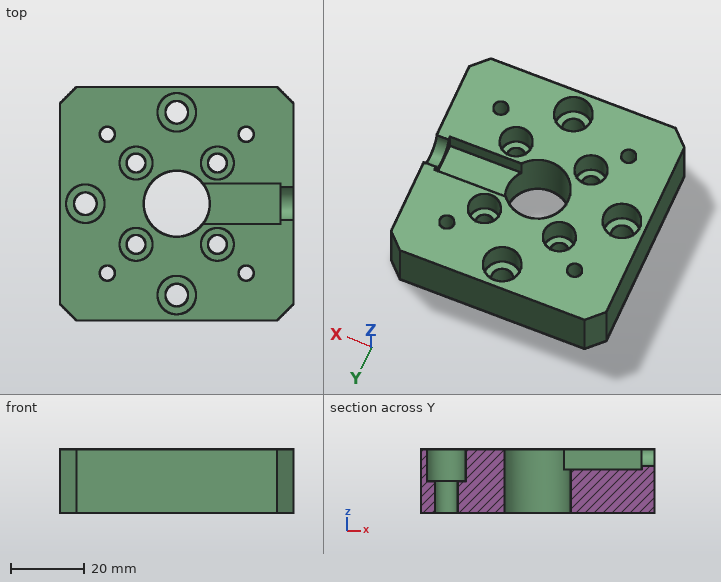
import cadquery as cq

side = 63.8
thickness = 17.5
corner_chamfer = 4.5

bore_diameter = 18.0
pin_diameter = 4.1
pin_offset = 18.95
counterbore_depth = thickness / 2
inner_hole_diameter = 5.1
inner_counterbore_diameter = 9.0
inner_offset = 11.1
outer_hole_diameter = 6.1
outer_counterbore_diameter = 10.5
outer_offset = 24.95

channel_width = 11.0
channel_depth = 5.5
outlet_wall = 3.6
outlet_diameter = 9.0


def square_pattern(offset):
    """Four points at the corners of a centred square."""
    return [(x, y) for x in (-offset, offset) for y in (-offset, offset)]


def make_plate():
    """Square plate, bottom on Z = 0, with chamfered vertical corners."""
    return cq.Workplane("XY").box(side, side, thickness, (True, True, False)).edges("|Z").chamfer(corner_chamfer)


def top_face(body):
    return body.faces(">Z").workplane(origin=(0, 0, thickness))


def drill_holes(body):
    """Central bore, plain pin holes and two sets of counterbored holes."""
    body = top_face(body).hole(bore_diameter)
    body = top_face(body).pushPoints(square_pattern(pin_offset)).hole(pin_diameter)
    body = (
        top_face(body)
        .pushPoints(square_pattern(inner_offset))
        .cboreHole(inner_hole_diameter, inner_counterbore_diameter, counterbore_depth)
    )
    outer_points = [(-outer_offset, 0), (0, outer_offset), (0, -outer_offset)]
    return (
        top_face(body)
        .pushPoints(outer_points)
        .cboreHole(outer_hole_diameter, outer_counterbore_diameter, counterbore_depth)
    )


def channel():
    """Rectangular channel from the plate centre to the outlet wall."""
    length = side / 2 - outlet_wall
    return (
        cq.Workplane("XY", origin=(0, 0, thickness - channel_depth))
        .box(length, channel_width, channel_depth, (False, True, False))
    )


def outlet():
    """Cylinder on the top surface that leaves a half-round groove in the outlet wall."""
    return (
        cq.Workplane("YZ", origin=(side / 2 - outlet_wall, 0, thickness))
        .circle(outlet_diameter / 2)
        .extrude(outlet_wall)
    )


result = drill_holes(make_plate()).cut(channel()).cut(outlet())